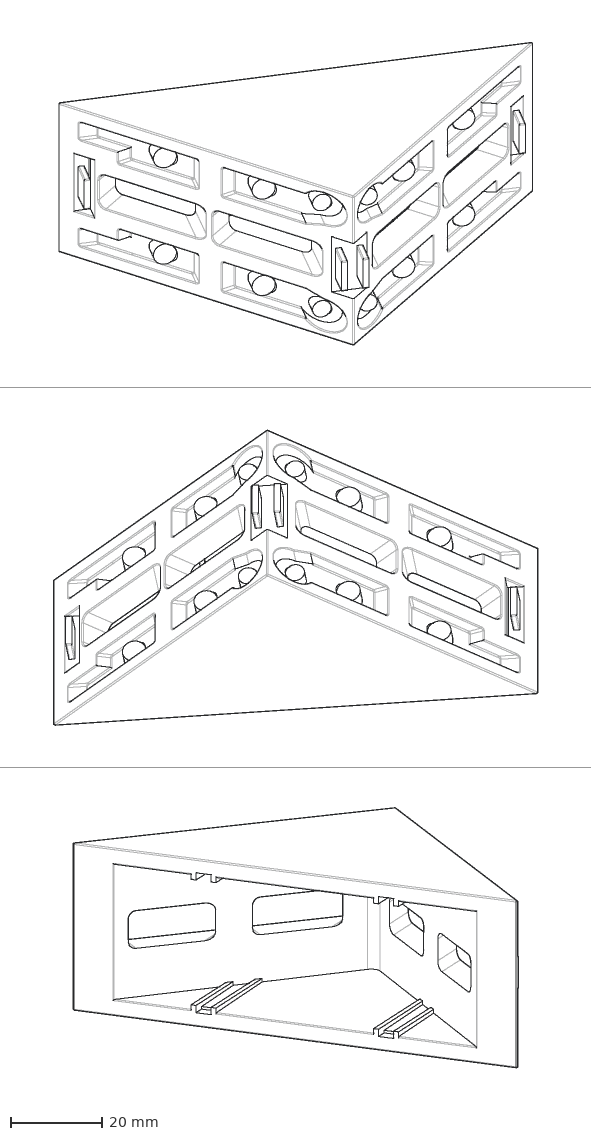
import cadquery as cq
import math


OVERALL = 78.82
TAB_REACH = 3.32
LEG = OVERALL - TAB_REACH
HEIGHT = 38.29
TIP_FLAT = 0.45
EDGE_ROUND = 0.3
MOUTH_ROUND = 0.25
WALL = 7.15

CAVITY_MOUTH_HALF = 15.45
CAVITY_FLOOR_HALF = 14.9
CAVITY_CORNER_ROUND = 2.1

RIB_PAIR_PLACES = (22.5, 53.5)
RIB_SPACING = 4.8
RIB_WIDTH = 1.2
RIB_EMBED = 5.0
RIB_FACE = 14.35
RELIEF_FACE = 16.0
RELIEF_DEPTH = 3.0

SLOT_SPANS = ((-65.3, -37.75), (-36.2, -7.95))
SLOT_HALF = 4.3
SLOT_ROUND = 1.8
SLOT_OVERRUN = 1.0

POCKET_DEPTH = 3.05
POCKET_TOP = 15.9
POCKET_BOTTOM = 8.4
POCKET_ROUND = 0.5
POCKET_FLOOR_ROUND = 0.3
STEEP_RUN = 1.5
STEPPED_LEFT = -70.5
STEPPED_RIGHT = -39.6
STEP_X = -60.4
STEP_Z = 11.4
PLAIN_LEFT = -33.8
PLAIN_RIGHT = -12.1
ROUND_END_X = -7.35
ROUND_END_Z = 13.65
ROUND_END_RADIUS = 4.0
FLARE_X = -10.7

STUB_RISE = 1.06
STUB_Z = 12.4
STUB_PLACES = (-50.6, -25.3)
STUB_DIAMETER = 5.2
SMALL_STUB_DIAMETER = 4.2
STUB_ROOT = 4.0
STUB_CLEARANCE = 1.5

GROOVE_LEFT = -71.6
GROOVE_RIGHT = -66.4
GROOVE_DEPTH = 2.4
GROOVE_HALF = 7.3
CORNER_CUT = 5.7
CORNER_CUT_HALF = 7.1
TAB_RUN = 3.95
TAB_EMBED = 0.5
TAB_THICKNESS = 1.43
TAB_ROOT_HALF = 4.0
TAB_TIP_HALF = 3.8
TAB_ROUND = 0.25

SLOPE_OFFSET = LEG + TIP_FLAT
DIAGONAL = cq.Vector(1, -1, 0)
ALONG_HYPOTENUSE = cq.Vector(1, 1, 0)
CORNER_EDGES = "not(|X or |Z)"


def plan_prism(points, low, high):
    """Upright prism on a plan outline, from z = low to z = high."""
    return cq.Workplane("XY").workplane(offset=low).polyline(points).close().extrude(high - low)


def diagonal_wedge(start, depth, start_half, end_half):
    """Wide wedge, symmetric about z = 0, whose half height changes from start along the diagonal."""
    plane = cq.Plane(origin=start, xDir=DIAGONAL, normal=ALONG_HYPOTENUSE)
    outline = [(0, -start_half), (depth, -end_half), (depth, end_half), (0, start_half)]
    return cq.Workplane(plane).polyline(outline).close().extrude(LEG, both=True)


def diagonal_cylinder(center, diameter, length):
    """Cylinder from center, its axis square to the hypotenuse; a positive length runs inward."""
    plane = cq.Plane(origin=center, xDir=(0, 0, 1), normal=-DIAGONAL)
    return cq.Workplane(plane).circle(diameter / 2).extrude(length)


def with_lower_copy(shape):
    """Add the mirror image of shape below z = 0."""
    return shape.union(shape.mirror("XY"))


def with_other_wall(shape):
    """Add the mirror image of shape in the diagonal plane."""
    for solid in shape.vals():
        shape = shape.union(cq.Workplane(solid.mirror(ALONG_HYPOTENUSE)))
    return shape


def make_body():
    outline = [(-LEG, TIP_FLAT), (-LEG, 0), (0, 0), (0, LEG), (-TIP_FLAT, LEG)]
    body = plan_prism(outline, -HEIGHT / 2, HEIGHT / 2)
    return body.edges("#Z or (|Z and >(1,-1,0))").fillet(EDGE_ROUND)


def make_cavity():
    """Triangular hollow, its height tapering from the hypotenuse to the inner corner."""
    outline = [(WALL - SLOPE_OFFSET, WALL), (-WALL, WALL), (-WALL, SLOPE_OFFSET - WALL)]
    plan = plan_prism(outline, -HEIGHT / 2, HEIGHT / 2)
    plan = plan.edges("|Z and >(1,-1,0)").fillet(CAVITY_CORNER_ROUND)
    depth = SLOPE_OFFSET / math.sqrt(2) - WALL * math.sqrt(2)
    slope_middle = (-SLOPE_OFFSET / 2, SLOPE_OFFSET / 2, 0)
    return plan.intersect(diagonal_wedge(slope_middle, depth, CAVITY_MOUTH_HALF, CAVITY_FLOOR_HALF))


def hypotenuse_block(place, shift, width, depth, low, high):
    """Block running inward from the hypotenuse at y = place, shifted along the slope."""
    plane = cq.Plane(origin=(place - SLOPE_OFFSET, place, low), xDir=DIAGONAL, normal=(0, 0, 1))
    block = cq.Workplane(plane).center(0, shift)
    return block.box(depth, width, high - low, centered=(False, True, False))


def make_upper_ribs():
    """Pairs of ribs that run from the hypotenuse into the walls."""
    ribs = cq.Workplane("XY")
    for place in RIB_PAIR_PLACES:
        run = math.sqrt(2) * (min(place, SLOPE_OFFSET - place) - WALL) + RIB_EMBED
        for side in (-1, 1):
            ribs = ribs.union(hypotenuse_block(place, side * RIB_SPACING / 2, RIB_WIDTH, run,
                                               RIB_FACE, RELIEF_FACE))
    return ribs


def make_upper_reliefs():
    """Shallow grooves between the two ribs of each pair."""
    reliefs = cq.Workplane("XY")
    width = RIB_SPACING - RIB_WIDTH
    for place in RIB_PAIR_PLACES:
        reliefs = reliefs.union(hypotenuse_block(place, 0, width, RELIEF_DEPTH, RIB_FACE, RELIEF_FACE))
    return reliefs


def make_slots():
    """Through slots: left end square to the wall, right end square to the hypotenuse."""
    through = WALL + SLOT_OVERRUN
    slots = cq.Workplane("XY")
    for left, right in SLOT_SPANS:
        outline = [(left, 0), (right, 0), (right - through, through), (left, through)]
        slot = plan_prism(outline, -SLOT_HALF, SLOT_HALF)
        slots = slots.union(slot.edges(CORNER_EDGES).fillet(SLOT_ROUND))
    return slots


def pocket_outline(left, left_run, right):
    """Plan of a pocket whose left end slopes by left_run and whose right end is undercut at 45 degrees."""
    return [(left, 0), (right, 0), (right - POCKET_DEPTH, POCKET_DEPTH), (left + left_run, POCKET_DEPTH)]


def closed_pocket(outline, low, high):
    """Pocket rounded at all four corners and all around its floor."""
    block = plan_prism(outline, low, high).edges(CORNER_EDGES).fillet(POCKET_ROUND)
    return block.faces(">Y").edges().fillet(POCKET_FLOOR_ROUND)


def open_ended_pocket(outline, low, high):
    """Pocket left sharp at its right end, where another shape carries on."""
    block = plan_prism(outline, low, high).edges(CORNER_EDGES).edges("<X").fillet(POCKET_ROUND)
    return block.faces(">Y").edges("not >X").fillet(POCKET_FLOOR_ROUND)


def make_stepped_pocket():
    narrow_plan = pocket_outline(STEPPED_LEFT, POCKET_DEPTH, STEPPED_RIGHT)
    wide_plan = pocket_outline(STEP_X, STEEP_RUN, STEPPED_RIGHT)
    narrow = closed_pocket(narrow_plan, STEP_Z, POCKET_TOP)
    wide = closed_pocket(wide_plan, POCKET_BOTTOM, POCKET_TOP)
    return narrow.union(wide)


def make_plain_pocket():
    """Straight pocket that flares into a rounded end running square to the hypotenuse."""
    straight_plan = pocket_outline(PLAIN_LEFT, STEEP_RUN, PLAIN_RIGHT)
    straight = open_ended_pocket(straight_plan, POCKET_BOTTOM, POCKET_TOP)
    rise = math.sqrt(ROUND_END_RADIUS**2 - ((ROUND_END_X - FLARE_X) / math.sqrt(2))**2)
    flare_points = [
        (PLAIN_RIGHT, POCKET_BOTTOM),
        (ROUND_END_X, ROUND_END_Z - ROUND_END_RADIUS),
        (ROUND_END_X, ROUND_END_Z),
        (FLARE_X, ROUND_END_Z + rise),
        (PLAIN_RIGHT, POCKET_TOP),
    ]
    wire = cq.Wire.makePolygon([cq.Vector(x, 0, z) for x, z in flare_points], close=True)
    flare = cq.Solid.extrudeLinear(wire, [], DIAGONAL * -POCKET_DEPTH)
    overrun = 2 * ROUND_END_RADIUS
    start = (ROUND_END_X + overrun, -overrun, ROUND_END_Z)
    length = (POCKET_DEPTH + 2 * overrun) * math.sqrt(2)
    round_end = diagonal_cylinder(start, 2 * ROUND_END_RADIUS, length)
    within_depth = plan_prism([(-LEG, 0), (LEG, 0), (LEG, POCKET_DEPTH), (-LEG, POCKET_DEPTH)],
                              0, HEIGHT / 2)
    return straight.union(cq.Workplane(flare)).union(round_end.intersect(within_depth))


def stub_places():
    """(x on the floor, z, diameter) of every stub; the small one sits in the rounded end."""
    places = [(x, STUB_Z, STUB_DIAMETER) for x in STUB_PLACES]
    places.append((ROUND_END_X - POCKET_DEPTH, ROUND_END_Z, SMALL_STUB_DIAMETER))
    return places


def shape_stubs(pockets):
    """Pocket cutter with stubs left standing: each flat end faces square to the hypotenuse,
    so half of it stands proud of the pocket floor and half is sunk below it."""
    for x, z, diameter in stub_places():
        end = (x + STUB_RISE, POCKET_DEPTH - STUB_RISE, z)
        stub = diagonal_cylinder(end, diameter, STUB_ROOT)
        pockets = pockets.union(diagonal_cylinder(end, diameter, -STUB_CLEARANCE)).cut(stub)
    return pockets


def make_tab(root_x):
    """Flat tab square to the hypotenuse, narrowing to its tip; root_x is its base plane at y = 0."""
    tip = (root_x + 2 * TAB_RUN - TAB_REACH, -TAB_REACH, 0)
    length = (TAB_RUN + TAB_EMBED) * math.sqrt(2)
    plane = cq.Plane(origin=tip, xDir=DIAGONAL, normal=ALONG_HYPOTENUSE)
    outline = [(0, TAB_TIP_HALF), (-length, TAB_ROOT_HALF), (-length, -TAB_ROOT_HALF), (0, -TAB_TIP_HALF)]
    tab = cq.Workplane(plane).polyline(outline).close().extrude(TAB_THICKNESS)
    return tab.edges("not |Z").fillet(TAB_ROUND)


def make_tab_notches():
    """Flat-bottomed V groove at the far end of the wall and the flat cut across the inner corner."""
    groove_outline = [(GROOVE_LEFT, 0), (GROOVE_RIGHT, 0),
                      (GROOVE_RIGHT - GROOVE_DEPTH, GROOVE_DEPTH), (GROOVE_LEFT + GROOVE_DEPTH, GROOVE_DEPTH)]
    groove = plan_prism(groove_outline, -GROOVE_HALF, GROOVE_HALF)
    corner_outline = [(-CORNER_CUT, 0), (0, 0), (0, CORNER_CUT)]
    corner = plan_prism(corner_outline, -CORNER_CUT_HALF, CORNER_CUT_HALF)
    return groove.union(corner)


def make_wall_cuts():
    upper_pockets = shape_stubs(make_stepped_pocket().union(make_plain_pocket()))
    cuts = with_lower_copy(upper_pockets).union(make_slots()).union(make_tab_notches())
    return with_other_wall(cuts)


def round_mouths(shape, face):
    """Round the rim of every opening in one outer face."""
    rims = shape.faces(face).val().innerWires()
    edges = [edge for rim in rims for edge in rim.Edges()]
    return shape.newObject(edges).fillet(MOUTH_ROUND)


hollow_body = round_mouths(make_body().cut(make_cavity()), "<(1,-1,0)")
ribbed_body = hollow_body.cut(with_lower_copy(make_upper_reliefs())).union(with_lower_copy(make_upper_ribs()))
bracket = ribbed_body.cut(make_wall_cuts())
for wall_face in ("<Y", ">X"):
    bracket = round_mouths(bracket, wall_face)
tabs = with_other_wall(make_tab(GROOVE_LEFT).union(make_tab(-CORNER_CUT)))
result = bracket.union(tabs)